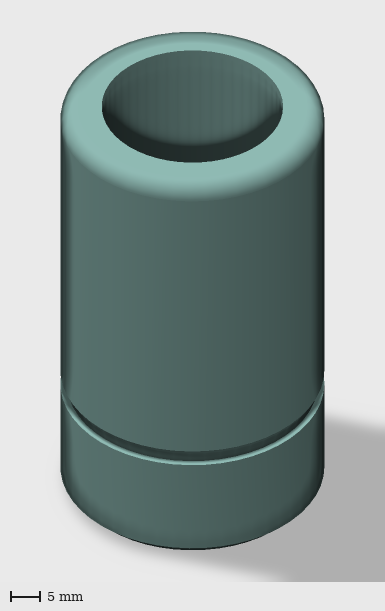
import cadquery as cq

length = 80.0
outer_radius = 22.5
bore_radius = 15.4

top_round = 2.9
bottom_chamfer = 2.0

groove_bottom = 20.0
groove_height = 3.0
groove_depth = 1.1
groove_bow = 0.2


def sleeve_body():
    """Hollow cylinder with a rounded top rim and a chamfered bottom rim."""
    body = cq.Workplane("XY").circle(outer_radius).extrude(length)
    body = body.faces(">Z").edges().fillet(top_round)
    body = body.faces("<Z").edges().chamfer(bottom_chamfer)
    bore = cq.Workplane("XY").circle(bore_radius).extrude(length)
    return body.cut(bore)


def outer_groove():
    """Ring cutter whose inner wall bows towards the axis."""
    floor_radius = outer_radius - groove_depth
    middle_radius = outer_radius - groove_depth / 2 - groove_bow
    clear_radius = outer_radius + groove_depth
    groove_top = groove_bottom + groove_height
    return (
        cq.Workplane("XZ")
        .moveTo(clear_radius, groove_bottom)
        .lineTo(floor_radius, groove_bottom)
        .threePointArc(
            (middle_radius, groove_bottom + groove_height / 2),
            (outer_radius, groove_top),
        )
        .lineTo(clear_radius, groove_top)
        .close()
        .revolve(360, (0, 0, 0), (0, 1, 0))
    )


result = sleeve_body().cut(outer_groove())